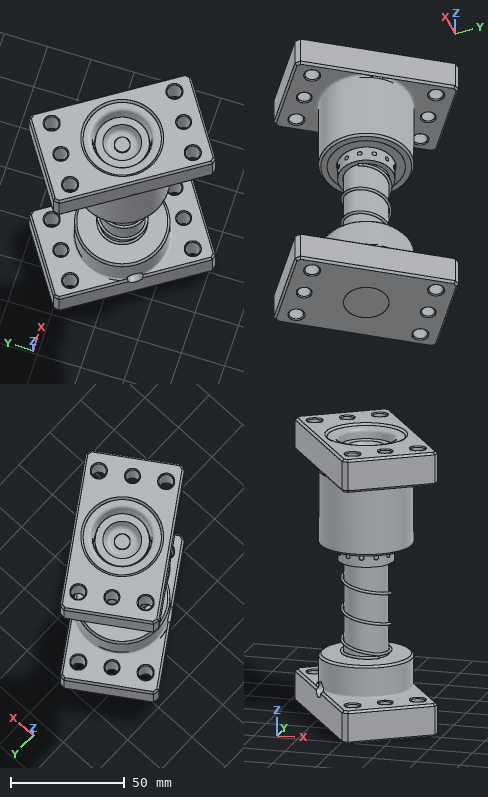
import cadquery as cq
import math

plate_length = 74.0
plate_width = 44.0
plate_height = 15.0
plate_turn = -56.7
plate_corner = 2.0
edge_chamfer = 1.0
total_height = 130.0

hole_row_distance = 56.0
screw_hole_distance = 30.0
screw_hole_radius = 3.25
dowel_hole_radius = 3.0
hole_chamfer = 0.5

boss_radius = 21.0
boss_foot_fillet = 1.0
base_height = 30.0
housing_bottom = 80.0

vent_diameter = 7.0

pillar_radius = 10.0
bush_radius = 17.2
bush_bore_radius = 13.0
bush_lip_fillet = 2.0
bush_recess = 1.0

cage_radius = 12.6
cage_bore_radius = 10.25
cage_bottom = 72.7
cage_height = 45.0
ball_radius = 1.5
ball_count = 12
ball_first_angle = 6.5
ball_row_height = 4.2

retainer_radius = 12.0
retainer_top = 124.5
retainer_height = 4.5
pillar_top = retainer_top - retainer_height
pocket_mouth_radius = 8.5
pocket_floor_radius = 5.2
pocket_depth = 3.4
pocket_fillet = 2.4
pocket_slope = math.radians(60.0)

pin_radius = 3.5
pin_stand = 1.1
pin_depth_in_pillar = 10.0

wire_radius = 0.6
spring_radius = 10.7
spring_pitch = 14.0
closed_pitch = 1.25
spring_start_angle = -44.0


def cylinder(radius, bottom, top):
    return cq.Workplane("XY").workplane(offset=bottom).circle(radius).extrude(top - bottom)


def flange_plate(bottom):
    """Rectangular plate with chamfered corners and edges and its six holes, along X."""
    plate = (
        cq.Workplane("XY")
        .workplane(offset=bottom)
        .rect(plate_length, plate_width)
        .extrude(plate_height)
        .edges("|Z")
        .chamfer(plate_corner)
        .faces("<Z or >Z")
        .edges()
        .chamfer(edge_chamfer)
    )
    for x in (-hole_row_distance / 2, hole_row_distance / 2):
        for y in (-screw_hole_distance / 2, 0, screw_hole_distance / 2):
            radius = screw_hole_radius if y else dowel_hole_radius
            plate = plate.cut(chamfered_hole(radius, bottom, bottom + plate_height).translate((x, y, 0)))
    return plate


def chamfered_hole(radius, bottom, top):
    """Cutter for a through hole with a chamfer at both ends."""
    mouth = radius + hole_chamfer
    profile = [
        (0, bottom),
        (mouth, bottom),
        (radius, bottom + hole_chamfer),
        (radius, top - hole_chamfer),
        (mouth, top),
        (0, top),
    ]
    return cq.Workplane("XZ").polyline(profile).close().revolve(360, (0, 0, 0), (0, 1, 0))


def boss(height):
    """Round boss standing on Z = 0, with a foot fillet kept inside the flat of the plate."""
    body = cylinder(boss_radius, 0, height).faces(">Z").edges().chamfer(edge_chamfer)
    foot_radius = boss_radius + boss_foot_fillet
    foot = (
        cq.Workplane("XZ")
        .lineTo(foot_radius, 0)
        .radiusArc((boss_radius, boss_foot_fillet), boss_foot_fillet)
        .lineTo(0, boss_foot_fillet)
        .close()
        .revolve(360, (0, 0, 0), (0, 1, 0))
    )
    plate_flat = cq.Workplane("XY").box(
        plate_length - 2 * edge_chamfer,
        plate_width - 2 * edge_chamfer,
        2 * boss_foot_fillet,
    )
    return body.union(foot.intersect(plate_flat))


def turned(body):
    return body.rotate((0, 0, 0), (0, 0, 1), plate_turn)


def make_base():
    base = flange_plate(0).union(boss(base_height - plate_height).translate((0, 0, plate_height)))
    vent = cq.Workplane("XZ").center(0, plate_height).circle(vent_diameter / 2).extrude(plate_width)
    base = base.cut(vent).cut(cylinder(pillar_radius, 0, base_height))
    return turned(base)


def make_housing():
    plate_bottom = total_height - plate_height
    hanging_boss = boss(plate_bottom - housing_bottom).rotate((0, 0, 0), (1, 0, 0), 180)
    housing = flange_plate(plate_bottom).union(hanging_boss.translate((0, 0, plate_bottom)))
    housing = housing.cut(cylinder(bush_radius, housing_bottom, total_height))
    mouth_chamfer = (
        cq.Workplane("XY")
        .workplane(offset=total_height - bush_recess)
        .circle(bush_radius)
        .workplane(offset=bush_recess)
        .circle(bush_radius + bush_recess)
        .loft()
    )
    return turned(housing.cut(mouth_chamfer))


def make_bush():
    bush_top = total_height - bush_recess
    bush = cylinder(bush_radius, housing_bottom, bush_top)
    bush = bush.cut(cylinder(bush_bore_radius, housing_bottom, bush_top))
    return bush.faces(">Z").edges(cq.selectors.RadiusNthSelector(0)).fillet(bush_lip_fillet)


def make_pin():
    bottom = pillar_top - pin_depth_in_pillar
    return cylinder(pin_radius, bottom, retainer_top - pocket_depth + pin_stand)


def make_pillar():
    return cylinder(pillar_radius, 0, pillar_top).cut(make_pin())


def make_retainer():
    floor = retainer_top - pocket_depth
    round_radius = pocket_floor_radius + pocket_fillet * math.sin(pocket_slope)
    round_height = floor + pocket_fillet * (1 - math.cos(pocket_slope))
    half_slope = pocket_slope / 2
    mid_point = (
        pocket_floor_radius + pocket_fillet * math.sin(half_slope),
        floor + pocket_fillet * (1 - math.cos(half_slope)),
    )
    pocket = (
        cq.Workplane("XZ")
        .moveTo(0, floor)
        .lineTo(pocket_floor_radius, floor)
        .threePointArc(mid_point, (round_radius, round_height))
        .lineTo(pocket_mouth_radius, retainer_top)
        .lineTo(0, retainer_top)
        .close()
        .revolve(360, (0, 0, 0), (0, 1, 0))
    )
    disc = cylinder(retainer_radius, pillar_top, retainer_top)
    return disc.cut(pocket).cut(make_pin())


def make_cage():
    """Sleeve with one ring of balls that stand out of its outside."""
    cage_top = cage_bottom + cage_height
    cage = cylinder(cage_radius, cage_bottom, cage_top)
    for i in range(ball_count):
        angle = math.radians(ball_first_angle + i * 360.0 / ball_count)
        distance = pillar_radius + ball_radius
        centre = (distance * math.cos(angle), distance * math.sin(angle), cage_bottom + ball_row_height)
        cage = cage.union(cq.Workplane("XY").sphere(ball_radius).translate(centre))
    return cage.cut(cylinder(cage_bore_radius, cage_bottom, cage_top))


def coil(pitch, height):
    """Wire wound left-handed around Z, its first cross-section centred on the +X axis at Z = 0."""
    path = cq.Wire.makeHelix(pitch, height, spring_radius, lefthand=True)
    return cq.Workplane("XZ").center(spring_radius, 0).circle(wire_radius).sweep(path, isFrenet=True)


def make_spring():
    """Closed bottom turn on the base, then open turns up to the underside of the cage."""
    open_height = cage_bottom - base_height - 2 * wire_radius - closed_pitch
    open_turns = coil(spring_pitch, open_height).translate((0, 0, closed_pitch))
    spring = coil(closed_pitch, closed_pitch).union(open_turns)
    spring = spring.rotate((0, 0, 0), (0, 0, 1), spring_start_angle)
    return spring.translate((0, 0, base_height + wire_radius))


base = make_base()
pillar = make_pillar()
housing = make_housing()
bush = make_bush()
cage = make_cage()
spring = make_spring()
retainer = make_retainer()
pin = make_pin()

bodies = [base, pillar, housing, bush, cage, spring, retainer, pin]
result = cq.Compound.makeCompound([body.solids().val() for body in bodies])